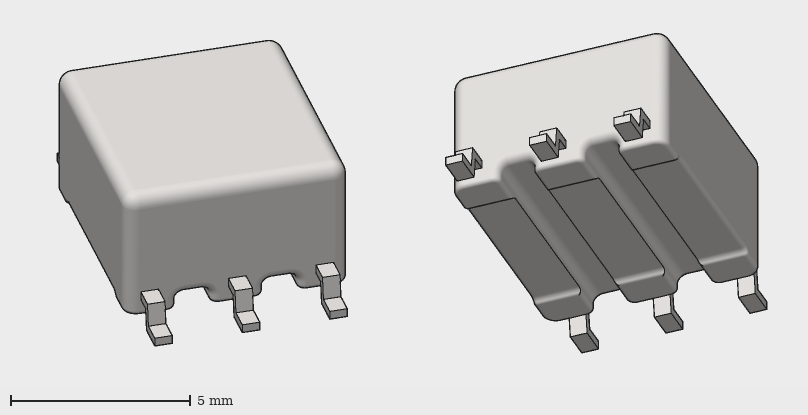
import cadquery as cq
import math

BODY_LENGTH = 7.14
BODY_WIDTH = 6.48
BODY_BOTTOM = 0.16
BODY_TOP = 4.06
BODY_RADIUS = 0.41
BOTTOM_RADIUS = 0.125

LEAD_SPAN = 9.96
LEAD_PITCH = 2.54
LEAD_WIDTH = 0.51
LEAD_THICKNESS = 0.26
LEAD_TOP = 0.93
FOOT_LENGTH = 0.85
LEAD_LEAN = math.radians(8)
LEG_WIDTH_X = 0.24
LEAD_EMBED = 0.3

SLOT_WIDTH = 1.02
SLOT_TOP = 0.67
SLOT_ARC_RADIUS = 0.25
SLOT_MOUTH_RADIUS = 0.25

RELIEF_TOP = 0.29
RELIEF_FLAT_LENGTH = 4.6
RELIEF_ARC_RADIUS = 0.25
RELIEF_MOUTH_RADIUS = 0.13

TOLERANCE = 0.001


def make_block():
    height = BODY_TOP - BODY_BOTTOM
    block = cq.Workplane("XY").workplane(offset=BODY_BOTTOM)
    block = block.rect(BODY_LENGTH, BODY_WIDTH).extrude(height)
    return block.edges("|Z").fillet(BODY_RADIUS).faces(">Z").edges().fillet(BODY_RADIUS)


def round_topped_bar(plane, width, top, radius, length):
    """Bar reaching down past Z = 0, with its two upper edges rounded."""
    half_width = width / 2
    outline = (
        cq.Workplane(plane)
        .moveTo(-half_width, -radius)
        .lineTo(-half_width, top - radius)
        .radiusArc((-half_width + radius, top), radius)
        .lineTo(half_width - radius, top)
        .radiusArc((half_width, top - radius), radius)
        .lineTo(half_width, -radius)
        .close()
    )
    return outline.extrude(length / 2, both=True)


def cut_underside(block):
    relief_width = RELIEF_FLAT_LENGTH + 2 * RELIEF_ARC_RADIUS
    block = block.cut(round_topped_bar("XZ", relief_width, RELIEF_TOP, RELIEF_ARC_RADIUS, 2 * BODY_WIDTH))
    slot = round_topped_bar("YZ", SLOT_WIDTH, SLOT_TOP, SLOT_ARC_RADIUS, 2 * BODY_LENGTH)
    for side in (-1, 1):
        block = block.cut(slot.translate((0, side * LEAD_PITCH / 2, 0)))
    return block


def edges_in_box(size, center):
    return cq.selectors.BoxSelector(
        tuple(c - s / 2 for c, s in zip(center, size)),
        tuple(c + s / 2 for c, s in zip(center, size)),
        boundingbox=True,
    )


def round_slot_mouths(block):
    box_size = (2 * TOLERANCE, SLOT_WIDTH + 2 * TOLERANCE, 2 * SLOT_TOP)
    for x_side in (-1, 1):
        for y_side in (-1, 1):
            center = (x_side * BODY_LENGTH / 2, y_side * LEAD_PITCH / 2, SLOT_TOP / 2)
            block = block.edges(edges_in_box(box_size, center)).fillet(SLOT_MOUTH_RADIUS)
    return block


def round_relief_mouths(block):
    box_size = (RELIEF_FLAT_LENGTH + 2 * RELIEF_ARC_RADIUS, 2 * TOLERANCE, 2 * RELIEF_TOP)
    for y_side in (-1, 1):
        center = (0, y_side * BODY_WIDTH / 2, RELIEF_TOP / 2)
        block = block.edges(edges_in_box(box_size, center)).fillet(RELIEF_MOUTH_RADIUS)
    return block


def round_bottom(block):
    return block.faces("<Z").edges().fillet(BOTTOM_RADIUS)


def make_lead():
    """Lead on the +X side, centred on Y = 0."""
    tip = LEAD_SPAN / 2
    heel = tip - FOOT_LENGTH
    lean = math.tan(LEAD_LEAN)
    shoulder_underside = LEAD_TOP - LEAD_THICKNESS
    root = BODY_LENGTH / 2 - LEAD_EMBED
    outline = [
        (tip, 0),
        (heel, 0),
        (heel - shoulder_underside * lean, shoulder_underside),
        (root, shoulder_underside),
        (root, LEAD_TOP),
        (heel + LEG_WIDTH_X - LEAD_TOP * lean, LEAD_TOP),
        (heel + LEG_WIDTH_X - LEAD_THICKNESS * lean, LEAD_THICKNESS),
        (tip, LEAD_THICKNESS),
    ]
    return cq.Workplane("XZ").polyline(outline).close().extrude(LEAD_WIDTH / 2, both=True)


def add_leads(body):
    right_lead = make_lead()
    left_lead = right_lead.mirror("YZ")
    for row in (-1, 0, 1):
        for lead in (right_lead, left_lead):
            body = body.union(lead.translate((0, row * LEAD_PITCH, 0)))
    return body


body = cut_underside(make_block())
body = round_slot_mouths(body)
body = round_relief_mouths(body)
body = round_bottom(body)
result = add_leads(body)